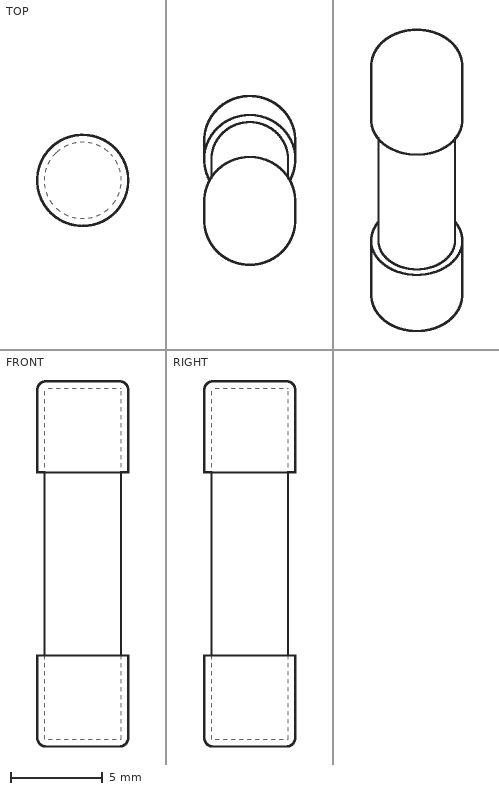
import cadquery as cq

total_length = 20.0
cap_diameter = 5.0
cap_length = 5.0
cap_edge_radius = 0.5
tube_diameter = 4.2

cap_wall = (cap_diameter - tube_diameter) / 2
tube_length = total_length - 2 * cap_wall
cap_mouth_height = total_length / 2 - cap_length
socket_depth = cap_length - cap_wall


def make_tube():
    """Plain cylindrical body whose ends are seated in the caps."""
    return cq.Workplane("XY", origin=(0, 0, -tube_length / 2)).circle(tube_diameter / 2).extrude(tube_length)


def make_cap(side):
    """Cup-shaped end cap with a rounded outer rim; side is +1 for the upper end, -1 for the lower."""
    mouth = cq.Workplane("XY", origin=(0, 0, side * cap_mouth_height))
    outer_face = ">Z" if side > 0 else "<Z"
    shell = (
        mouth.circle(cap_diameter / 2)
        .extrude(side * cap_length)
        .faces(outer_face)
        .edges()
        .fillet(cap_edge_radius)
    )
    socket = mouth.circle(tube_diameter / 2).extrude(side * socket_depth)
    return shell.cut(socket)


tube = make_tube()
caps = [make_cap(side) for side in (-1, 1)]

result = cq.Compound.makeCompound([tube.val(), *[cap.val() for cap in caps]])